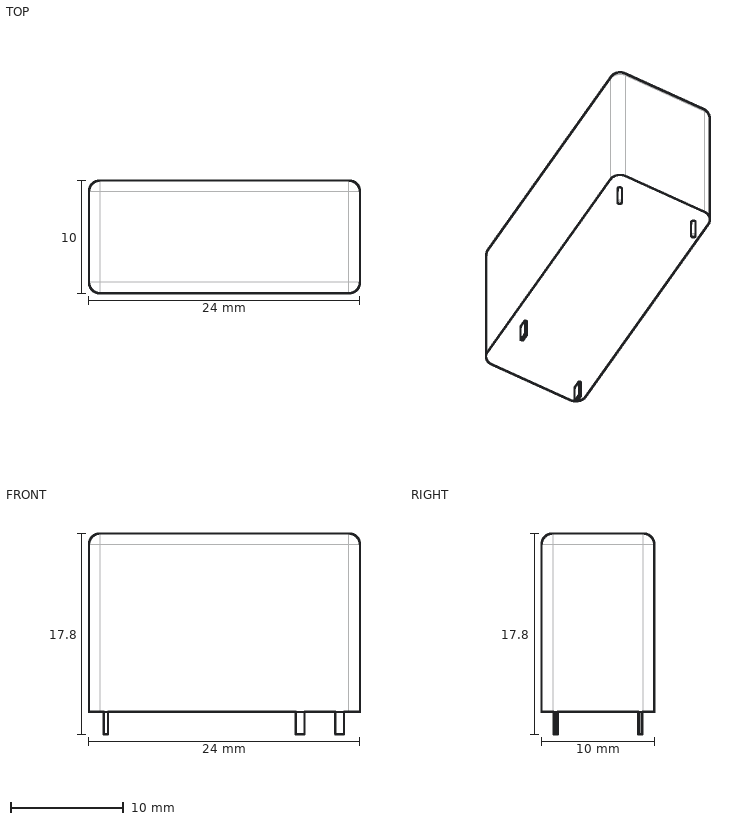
import cadquery as cq

CASE_LENGTH = 24.0
CASE_WIDTH = 10.0
CASE_HEIGHT = 15.8
CASE_EDGE_RADIUS = 1.0

PIN_LENGTH = 2.0
PIN_ROW_SPACING = 7.5
TIP_RADIUS = 0.1

COIL_PIN_DIAMETER = 0.4
COIL_PIN_X = -10.5

BLADE_WIDTH = 0.8
BLADE_THICKNESS = 0.2
BLADE_SPACING = 3.5
OUTER_BLADE_X = 10.2
INNER_BLADE_X = OUTER_BLADE_X - BLADE_SPACING

FRONT_ROW_Y = -PIN_ROW_SPACING / 2
BACK_ROW_Y = PIN_ROW_SPACING / 2


def make_case():
    """Box standing on Z = 0, rounded everywhere except around its flat base."""
    box = cq.Workplane("XY").box(CASE_LENGTH, CASE_WIDTH, CASE_HEIGHT, centered=(True, True, False))
    return box.edges("|Z or >Z").fillet(CASE_EDGE_RADIUS)


def make_coil_pin(x, y):
    """Round pin with a rounded tip."""
    pin = cq.Workplane("XY").center(x, y).circle(COIL_PIN_DIAMETER / 2).extrude(-PIN_LENGTH)
    return pin.faces("<Z").fillet(TIP_RADIUS)


def make_blade(x, y):
    """Flat blade whose two tip corners are rounded across its thickness."""
    blade = cq.Workplane("XY").center(x, y).rect(BLADE_WIDTH, BLADE_THICKNESS).extrude(-PIN_LENGTH)
    return blade.faces("<Z").edges("|Y").fillet(TIP_RADIUS)


result = make_case()
for row_y in (FRONT_ROW_Y, BACK_ROW_Y):
    result = result.union(make_coil_pin(COIL_PIN_X, row_y))
result = result.union(make_blade(OUTER_BLADE_X, FRONT_ROW_Y))
result = result.union(make_blade(INNER_BLADE_X, BACK_ROW_Y))